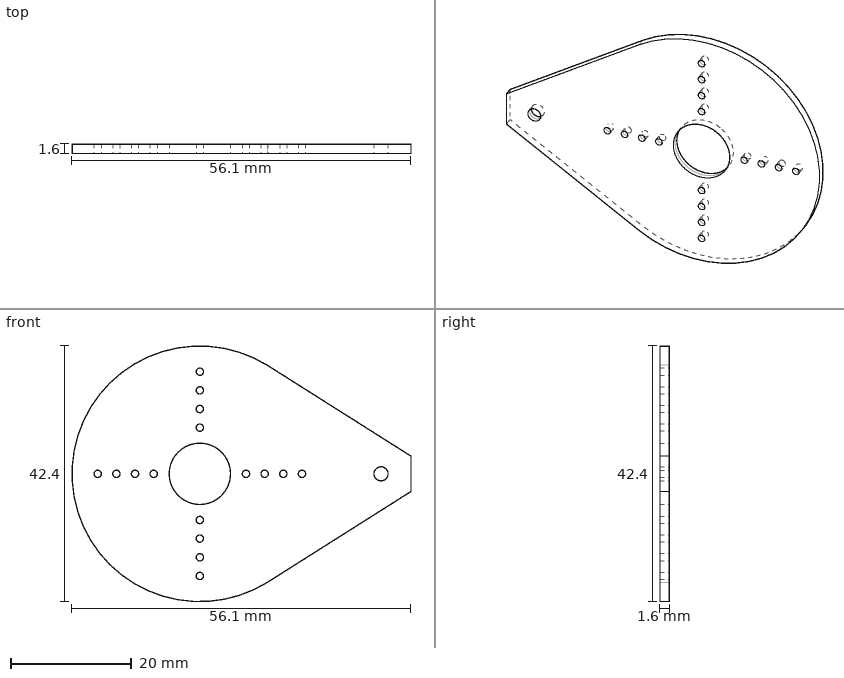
import cadquery as cq
import math

length = 56.15
thickness = 1.6
disc_radius = 21.2
tip_x = length - disc_radius
tip_half_height = 2.9
shoulder_x = 11.2
shoulder_z = math.sqrt(disc_radius**2 - shoulder_x**2)

opening_diameter = 10.1

row_count = 4
holes_per_row = 4
first_hole_radius = 7.65
hole_pitch = 3.1
small_hole_diameter = 1.2

tip_hole_x = 30.0
tip_hole_diameter = 2.3


def make_plate():
    return (
        cq.Workplane("XZ")
        .moveTo(shoulder_x, shoulder_z)
        .threePointArc((-disc_radius, 0), (shoulder_x, -shoulder_z))
        .lineTo(tip_x, -tip_half_height)
        .lineTo(tip_x, tip_half_height)
        .close()
        .extrude(thickness / 2, both=True)
    )


def radial_hole_points():
    points = []
    for row in range(row_count):
        angle = 2 * math.pi * row / row_count
        for index in range(holes_per_row):
            radius = first_hole_radius + index * hole_pitch
            points.append((radius * math.cos(angle), radius * math.sin(angle)))
    return points


def make_round_cutters(points, diameter):
    return cq.Workplane("XZ").pushPoints(points).circle(diameter / 2).extrude(thickness, both=True)


result = (
    make_plate()
    .cut(make_round_cutters([(0, 0)], opening_diameter))
    .cut(make_round_cutters(radial_hole_points(), small_hole_diameter))
    .cut(make_round_cutters([(tip_hole_x, 0)], tip_hole_diameter))
)